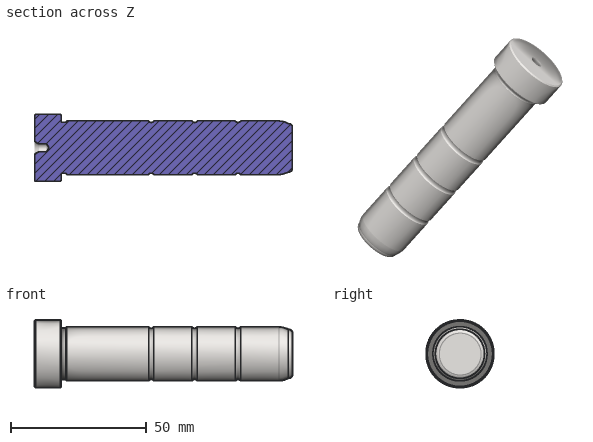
import cadquery as cq
import math

LENGTH = 95.0
HEAD_RADIUS = 12.49
HEAD_LENGTH = 10.0
HEAD_CHAMFER = 0.5
SHANK_RADIUS = 10.0

RELIEF_END = 12.0
RELIEF_DEPTH = 0.5

GROOVE_COUNT = 3
GROOVE_START = 42.0
GROOVE_PITCH = 16.0
GROOVE_WIDTH = 2.0
GROOVE_DEPTH = 0.6

LEAD_START = 90.0
LEAD_END = 93.4
LEAD_BULGE = 0.24
LEAD_END_RADIUS = 9.0
TIP_RADIUS = 7.7

CENTRE_MOUTH_RADIUS = 2.3
CENTRE_PILOT_RADIUS = 1.3
CENTRE_CONE_ANGLE = 60.0
CENTRE_PILOT_DEPTH = 2.85
DRILL_POINT_ANGLE = 120.0


def make_head():
    head = cq.Workplane("YZ").circle(HEAD_RADIUS).extrude(HEAD_LENGTH)
    return head.edges().chamfer(HEAD_CHAMFER)


def make_shank():
    """Revolved shank, with the relief under the head and the lead-in at the tip."""
    relief_radius = SHANK_RADIUS - RELIEF_DEPTH
    bulge_point = (
        (LEAD_START + LEAD_END) / 2,
        (SHANK_RADIUS + LEAD_END_RADIUS) / 2 + LEAD_BULGE,
    )
    diagonal = math.sqrt(0.5)
    tip_point = (
        LEAD_END + (LENGTH - LEAD_END) * diagonal,
        TIP_RADIUS + (LEAD_END_RADIUS - TIP_RADIUS) * diagonal,
    )
    outline = (
        cq.Workplane("XY")
        .moveTo(HEAD_LENGTH / 2, 0)
        .lineTo(HEAD_LENGTH / 2, relief_radius)
        .lineTo(RELIEF_END - RELIEF_DEPTH, relief_radius)
        .lineTo(RELIEF_END, SHANK_RADIUS)
        .lineTo(LEAD_START, SHANK_RADIUS)
        .threePointArc(bulge_point, (LEAD_END, LEAD_END_RADIUS))
        .threePointArc(tip_point, (LENGTH, TIP_RADIUS))
        .lineTo(LENGTH, 0)
        .close()
    )
    return outline.revolve(360, (0, 0, 0), (1, 0, 0))


def groove_cutter(start):
    """Ring with a shallow circular-arc section."""
    floor_point = (start + GROOVE_WIDTH / 2, SHANK_RADIUS - GROOVE_DEPTH)
    end_point = (start + GROOVE_WIDTH, SHANK_RADIUS)
    section = (
        cq.Workplane("XY")
        .moveTo(start, SHANK_RADIUS)
        .threePointArc(floor_point, end_point)
        .close()
    )
    return section.revolve(360, (0, 0, 0), (1, 0, 0))


def centre_hole_cutter():
    """Countersunk mouth, then a pilot ending in a drill point."""
    cone_depth = (CENTRE_MOUTH_RADIUS - CENTRE_PILOT_RADIUS) / math.tan(math.radians(CENTRE_CONE_ANGLE / 2))
    pilot_end = cone_depth + CENTRE_PILOT_DEPTH
    point_depth = CENTRE_PILOT_RADIUS / math.tan(math.radians(DRILL_POINT_ANGLE / 2))
    section = (
        cq.Workplane("XY")
        .lineTo(0, CENTRE_MOUTH_RADIUS)
        .lineTo(cone_depth, CENTRE_PILOT_RADIUS)
        .lineTo(pilot_end, CENTRE_PILOT_RADIUS)
        .lineTo(pilot_end + point_depth, 0)
        .close()
    )
    return section.revolve(360, (0, 0, 0), (1, 0, 0))


result = make_head().union(make_shank())
for index in range(GROOVE_COUNT):
    result = result.cut(groove_cutter(GROOVE_START + index * GROOVE_PITCH))
result = result.cut(centre_hole_cutter())